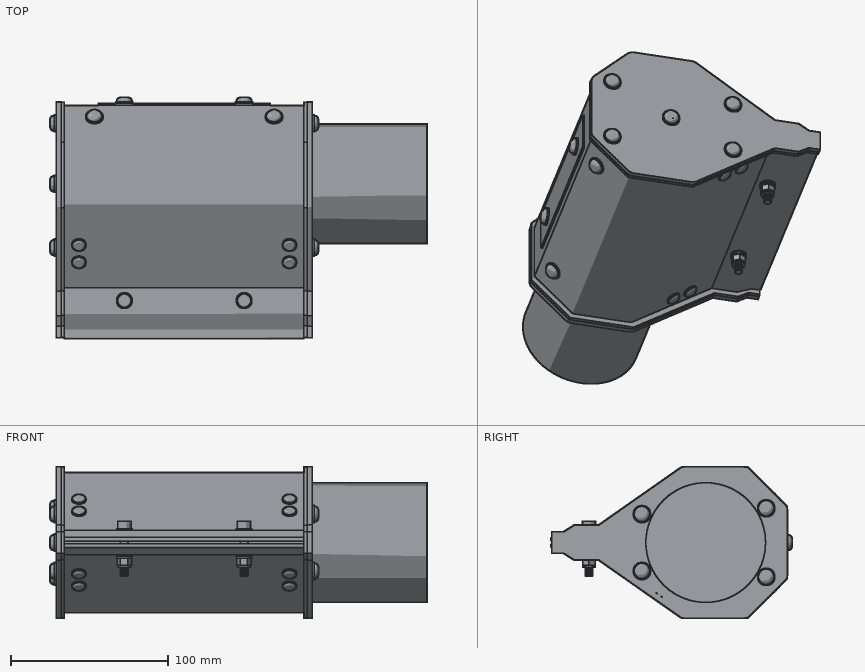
import cadquery as cq
import math


BODY_LENGTH = 152.4
BODY_BACK = 50.0
BODY_HALF_HEIGHT = 44.7
BODY_CHAMFER = 25.2
SLOPE_ANGLE = 35.0
SLOPE_START = -13.4
LIP_HALF_HEIGHT = 7.7
LIP_END = -82.7
NOSE_HALF_HEIGHT = 3.3
NOSE_START = -92.6
NOSE_TIP = -98.68
JAW_GAP = 1.4
JAW_RADIUS = (NOSE_HALF_HEIGHT - JAW_GAP / 2) / 2
BEND_RADIUS = 2.0

COVER_THICKNESS = 3.175
LINER_THICKNESS = 2.2
LINER_INSET = 0.15
PLATE_THICKNESS = COVER_THICKNESS + LINER_THICKNESS
PLATE_BACK = 52.07
PLATE_HALF_HEIGHT = 48.26
PLATE_CHAMFER = 25.4
PLATE_SLOPE_START = -15.3
PLATE_LIP_HALF_HEIGHT = 11.2
PLATE_LIP_END = -83.8
PLATE_NOSE_HALF_HEIGHT = 6.9
PLATE_NOSE_START = -90.5
PLATE_TIP = -98.0
PLATE_CORNER_RADIUS = 6.35

BODY_START = PLATE_THICKNESS
BODY_END = BODY_START + BODY_LENGTH
HOUSING_END = BODY_END + PLATE_THICKNESS
MID_X = HOUSING_END / 2

MOTOR_DIAMETER = 76.2

STRIP_LENGTH = 109.5
STRIP_HEIGHT = 25.4
STRIP_THICKNESS = 1.2

LARGE_SCREW = (11.0, 10.0, 4.8, 1.1, 3.9)
AXIS_SCREW = (11.0, 10.0, 5.8, 1.1, 3.9)
SMALL_SCREW = (9.0, 8.5, 4.4, 1.1, 2.5)
SEAT_DEPTH = 0.5
DOME_BULGE = 0.7

PLATE_SCREWS = [(38.5, 21.8), (-40.6, 18.1)]
PAIR_SPACING = 76.2
CHAMFER_SCREW_SPACING = 114.3
CHAMFER_SCREW_Y = 42.2
SLOPE_SCREW_INSET = 9.2
SLOPE_SCREW_Y = [-38.6, -49.6]

CLAMP_Y = -74.3
BOLT_DIAMETER = 5.0
BOLT_LENGTH = 30.0
BOLT_HEAD_DIAMETER = 8.5
BOLT_HEAD_HEIGHT = 5.0
WASHER_DIAMETER = 10.0
WASHER_THICKNESS = 1.0
SPRING_WASHER_DIAMETER = 9.5
SPRING_WASHER_THICKNESS = 1.3
NUT_ACROSS_FLATS = 8.0
NUT_HEIGHT = 5.7
NUT_COLLAR_HEIGHT = 1.3
NUT_ROTATION = 27.0
THREAD_RIDGES = 7
THREAD_DEPTH = 0.4

SCREW_HEIGHT = LARGE_SCREW[-1]
OVERALL_LENGTH = 240.03
MOTOR_END = OVERALL_LENGTH - SCREW_HEIGHT


def slope_end(start, half_height, lip_half_height):
    """Y where a face falling from the given start reaches the lip."""
    return start - (half_height - lip_half_height) / math.tan(math.radians(SLOPE_ANGLE))


def profile(back, half, chamfer, slope_start, lip, lip_end, nose, nose_start, tip):
    """Section in Y and Z, mirrored about Z = 0."""
    upper = [
        (back, half - chamfer),
        (back - chamfer, half),
        (slope_start, half),
        (slope_end(slope_start, half, lip), lip),
        (lip_end, lip),
        (nose_start, nose),
        (tip, nose),
    ]
    lower = [(y, -z) for y, z in reversed(upper)]
    return upper + lower


def extrude_along_x(points, start, length):
    return cq.Workplane("YZ", origin=(start, 0, 0)).polyline(points).close().extrude(length)


def round_edges_at(solid, corners, radius):
    """Fillet the X-direction edges passing through the given (Y, Z) corners."""
    for y, z in corners:
        reach = 0.1
        box = cq.selectors.BoxSelector(
            (-reach, y - reach, z - reach),
            (HOUSING_END + reach, y + reach, z + reach),
        )
        solid = solid.edges("|X").edges(box).fillet(radius)
    return solid


def make_body():
    points = profile(
        BODY_BACK, BODY_HALF_HEIGHT, BODY_CHAMFER, SLOPE_START, LIP_HALF_HEIGHT,
        LIP_END, NOSE_HALF_HEIGHT, NOSE_START, NOSE_TIP + JAW_RADIUS,
    )
    body = extrude_along_x(points, BODY_START, BODY_LENGTH)
    lip_start = slope_end(SLOPE_START, BODY_HALF_HEIGHT, LIP_HALF_HEIGHT)
    gap_depth = lip_start - NOSE_TIP
    gap = cq.Workplane("XY").box(BODY_LENGTH, gap_depth, JAW_GAP)
    body = body.cut(gap.translate((MID_X, NOSE_TIP + gap_depth / 2, 0)))
    upper_bends = [
        (BODY_BACK - BODY_CHAMFER, BODY_HALF_HEIGHT),
        (SLOPE_START, BODY_HALF_HEIGHT),
        (LIP_END, LIP_HALF_HEIGHT),
        (NOSE_START, NOSE_HALF_HEIGHT),
    ]
    bends = upper_bends + [(y, -z) for y, z in upper_bends]
    body = round_edges_at(body, bends, BEND_RADIUS)
    for side in (1, -1):
        jaw_middle = side * (NOSE_HALF_HEIGHT + JAW_GAP / 2) / 2
        tip = cq.Workplane("YZ", origin=(BODY_START, NOSE_TIP + JAW_RADIUS, jaw_middle))
        body = body.union(tip.circle(JAW_RADIUS).extrude(BODY_LENGTH))
    return body


def plate_points():
    return profile(
        PLATE_BACK, PLATE_HALF_HEIGHT, PLATE_CHAMFER, PLATE_SLOPE_START, PLATE_LIP_HALF_HEIGHT,
        PLATE_LIP_END, PLATE_NOSE_HALF_HEIGHT, PLATE_NOSE_START, PLATE_TIP,
    )


def make_liner(start):
    """Sharp-cornered plate, slightly smaller all round than the cover."""
    outline = cq.Workplane("YZ", origin=(start, 0, 0)).polyline(plate_points()).close()
    return outline.offset2D(-LINER_INSET, "intersection").extrude(LINER_THICKNESS)


def make_cover(start):
    upper = [
        (PLATE_BACK, PLATE_HALF_HEIGHT - PLATE_CHAMFER),
        (PLATE_BACK - PLATE_CHAMFER, PLATE_HALF_HEIGHT),
        (PLATE_SLOPE_START, PLATE_HALF_HEIGHT),
    ]
    corners = upper + [(y, -z) for y, z in upper]
    cover = extrude_along_x(plate_points(), start, COVER_THICKNESS)
    return round_edges_at(cover, corners, PLATE_CORNER_RADIUS)


def button_screw(size, position, outward):
    """Domed screw head at a position, crown facing outward."""
    flange_diameter, dome_diameter, crown_diameter, flange_height, height = size
    dome_radius = dome_diameter / 2
    crown_radius = crown_diameter / 2
    bulge_point = (
        crown_radius + DOME_BULGE * (dome_radius - crown_radius),
        flange_height + DOME_BULGE * (height - flange_height),
    )
    head = (
        cq.Workplane("XZ")
        .moveTo(0, -SEAT_DEPTH)
        .lineTo(flange_diameter / 2, -SEAT_DEPTH)
        .lineTo(flange_diameter / 2, flange_height)
        .lineTo(dome_radius, flange_height)
        .threePointArc(bulge_point, (crown_radius, height))
        .lineTo(0, height)
        .close()
        .revolve(360, (0, 0), (0, 1))
    )
    seat = cq.Plane(origin=position, normal=outward)
    return head.val().moved(cq.Location(seat))


def pair_along_x(spacing):
    """Two X positions placed evenly about the middle of the housing."""
    return (MID_X - spacing / 2, MID_X + spacing / 2)


def make_plate_screws():
    screws = [button_screw(AXIS_SCREW, (0, 0, 0), (-1, 0, 0))]
    for y, height in PLATE_SCREWS:
        for z in (height, -height):
            screws.append(button_screw(LARGE_SCREW, (0, y, z), (-1, 0, 0)))
            screws.append(button_screw(LARGE_SCREW, (HOUSING_END, y, z), (1, 0, 0)))
    return screws


def make_back_screws():
    return [
        button_screw(LARGE_SCREW, (x, BODY_BACK + STRIP_THICKNESS, 0), (0, 1, 0))
        for x in pair_along_x(PAIR_SPACING)
    ]


def make_chamfer_screws():
    z = BODY_HALF_HEIGHT + BODY_BACK - BODY_CHAMFER - CHAMFER_SCREW_Y
    return [
        button_screw(LARGE_SCREW, (x, CHAMFER_SCREW_Y, side * z), (0, 1, side))
        for x in pair_along_x(CHAMFER_SCREW_SPACING)
        for side in (1, -1)
    ]


def make_slope_screws():
    slope = math.radians(SLOPE_ANGLE)
    screws = []
    for y in SLOPE_SCREW_Y:
        z = BODY_HALF_HEIGHT - (SLOPE_START - y) * math.tan(slope)
        for x in pair_along_x(BODY_LENGTH - 2 * SLOPE_SCREW_INSET):
            for side in (1, -1):
                outward = (0, -math.sin(slope), side * math.cos(slope))
                screws.append(button_screw(SMALL_SCREW, (x, y, side * z), outward))
    return screws


def make_thread(top, bottom):
    """Ridged shank between two heights on the Z axis."""
    crest = BOLT_DIAMETER / 2
    root = crest - THREAD_DEPTH
    pitch = (top - bottom) / THREAD_RIDGES
    outline = [(0, top), (root, top)]
    for ridge in range(THREAD_RIDGES):
        ridge_top = top - ridge * pitch
        outline.append((crest, ridge_top - pitch / 2))
        outline.append((root, ridge_top - pitch))
    outline.append((0, bottom))
    return cq.Workplane("XZ").polyline(outline).close().revolve(360, (0, 0), (0, 1))


def make_clamp_bolt(x):
    def disc(z, diameter, height):
        return cq.Workplane("XY", origin=(x, CLAMP_Y, z)).circle(diameter / 2).extrude(height)

    head_seat = LIP_HALF_HEIGHT + WASHER_THICKNESS
    washer_bottom = -head_seat
    nut_top = washer_bottom - SPRING_WASHER_THICKNESS
    flats_height = NUT_HEIGHT - NUT_COLLAR_HEIGHT
    nut = (
        cq.Workplane("XY", origin=(x, CLAMP_Y, nut_top - flats_height))
        .transformed(rotate=(0, 0, NUT_ROTATION))
        .polygon(6, NUT_ACROSS_FLATS, circumscribed=True)
        .extrude(flats_height)
    )
    nut_bottom = nut_top - NUT_HEIGHT
    thread = make_thread(nut_bottom, head_seat - BOLT_LENGTH).translate((x, CLAMP_Y, 0))
    return (
        disc(nut_bottom, BOLT_DIAMETER, head_seat - nut_bottom)
        .union(thread)
        .union(disc(head_seat, BOLT_HEAD_DIAMETER, BOLT_HEAD_HEIGHT))
        .union(disc(LIP_HALF_HEIGHT, WASHER_DIAMETER, WASHER_THICKNESS))
        .union(disc(washer_bottom, WASHER_DIAMETER, WASHER_THICKNESS))
        .union(disc(nut_top, SPRING_WASHER_DIAMETER, SPRING_WASHER_THICKNESS))
        .union(nut)
        .union(disc(nut_bottom, NUT_ACROSS_FLATS, NUT_COLLAR_HEIGHT))
    )


def make_motor():
    length = MOTOR_END - HOUSING_END
    return cq.Workplane("YZ", origin=(HOUSING_END, 0, 0)).circle(MOTOR_DIAMETER / 2).extrude(length)


def make_back_strip():
    strip = cq.Workplane("XY").box(STRIP_LENGTH, STRIP_THICKNESS, STRIP_HEIGHT)
    return strip.translate((MID_X, BODY_BACK + STRIP_THICKNESS / 2, 0))


result = make_body()
result = result.union(make_cover(0)).union(make_liner(COVER_THICKNESS))
result = result.union(make_liner(BODY_END)).union(make_cover(BODY_END + LINER_THICKNESS))
result = result.union(make_motor()).union(make_back_strip())
for bolt_x in pair_along_x(PAIR_SPACING):
    result = result.union(make_clamp_bolt(bolt_x))
for screw in make_plate_screws() + make_back_screws() + make_chamfer_screws() + make_slope_screws():
    result = result.union(cq.Workplane(obj=screw))